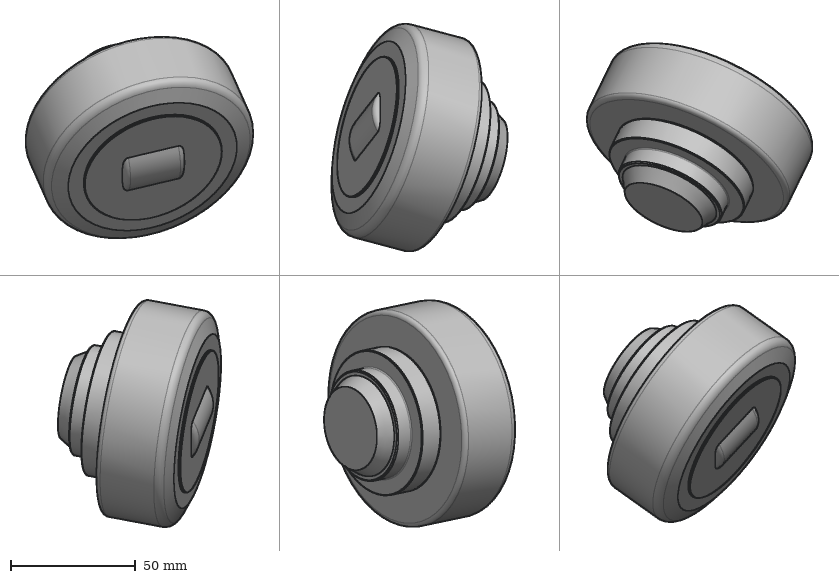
import cadquery as cq
import math

stub_end = 6.0
journal_end = 13.1
collar_end = 22.7
roller_start = 23.0
roller_end = 53.3
disc_end = 54.2
total_length = 56.9

tip_radius = 16.95
stub_radius = 20.5
journal_radius = 45 / 2
collar_radius = 59.0 / 2
neck_radius = 58.0 / 2
roller_radius = 44.15
roller_face_radius = 35.5
disc_radius = neck_radius

journal_chamfer = 0.5
journal_fillet = 0.4
collar_chamfer = 0.35
disc_chamfer = 0.3
roller_back_fillet = 1.9
roller_front_fillet = 3.8
roller_cone_angle = 22

pad_half_height = 9.5
pad_half_length = 13.0
pad_end_fillet = 2.5


def revolved_about_x(profile):
    return profile.close().revolve(360, (0, 0, 0), (1, 0, 0))


def stepped_hub():
    """Tapered stub, journal, collar and neck, running into the roller."""
    profile = (
        cq.Workplane("XY")
        .lineTo(0, tip_radius)
        .lineTo(stub_end, stub_radius)
        .lineTo(stub_end, journal_radius - journal_chamfer)
        .lineTo(stub_end + journal_chamfer, journal_radius)
        .lineTo(journal_end - journal_fillet, journal_radius)
        .radiusArc((journal_end, journal_radius + journal_fillet), -journal_fillet)
        .lineTo(journal_end, collar_radius - collar_chamfer)
        .lineTo(journal_end + collar_chamfer, collar_radius)
        .lineTo(collar_end - collar_chamfer, collar_radius)
        .lineTo(collar_end, neck_radius)
        .lineTo(roller_end, neck_radius)
        .lineTo(roller_end, 0)
    )
    return revolved_about_x(profile)


def roller():
    """Large roller with a rounded back edge and a rounded, coned front edge."""
    angle = math.radians(roller_cone_angle)
    cone_top_radius = roller_radius - roller_front_fillet * (1 - math.sin(angle))
    cone_top_x = roller_end - (cone_top_radius - roller_face_radius) * math.tan(angle)
    rim_end = cone_top_x - roller_front_fillet * math.cos(angle)
    profile = (
        cq.Workplane("XY")
        .moveTo(roller_start, 0)
        .lineTo(roller_start, roller_radius - roller_back_fillet)
        .radiusArc((roller_start + roller_back_fillet, roller_radius), roller_back_fillet)
        .lineTo(rim_end, roller_radius)
        .radiusArc((cone_top_x, cone_top_radius), roller_front_fillet)
        .lineTo(roller_end, roller_face_radius)
        .lineTo(roller_end, 0)
    )
    return revolved_about_x(profile)


def front_disc():
    """Thin disc standing proud of the roller's front face."""
    disc = cq.Workplane("YZ", origin=(roller_end, 0, 0)).circle(disc_radius)
    return disc.extrude(disc_end - roller_end).faces(">X").chamfer(disc_chamfer)


def crowned_pad():
    """Slice of a round-ended cylinder lying along Y, cut off at the disc face."""
    crown_height = total_length - disc_end
    crown_radius = (pad_half_height**2 + crown_height**2) / (2 * crown_height)
    axis_x = total_length - crown_radius
    cylinder = (
        cq.Workplane("XZ", origin=(axis_x, -pad_half_length, 0))
        .circle(crown_radius)
        .extrude(-2 * pad_half_length)
        .edges("%CIRCLE")
        .fillet(pad_end_fillet)
    )
    keep = cq.Workplane("XY").box(
        crown_height, 2 * pad_half_length, 2 * pad_half_height
    ).translate((disc_end + crown_height / 2, 0, 0))
    return cylinder.intersect(keep)


result = stepped_hub().union(roller()).union(front_disc()).union(crowned_pad())